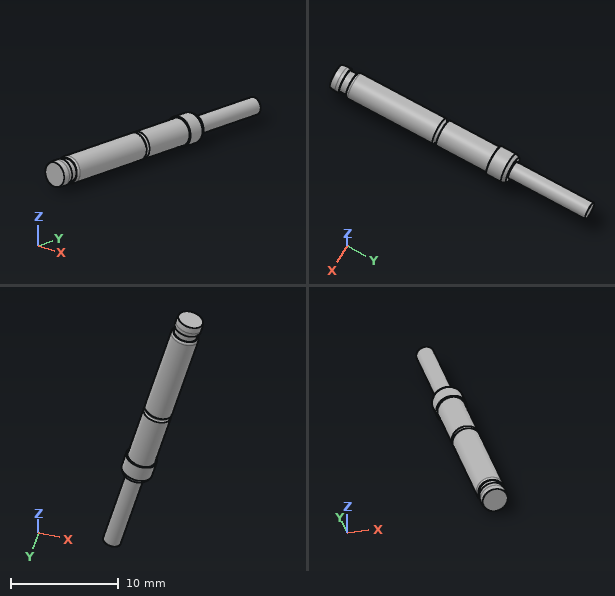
import cadquery as cq

total_length = 27.3
tip_bevel_length = 0.6
tip_length = 1.0
neck_end = 1.75
body_bevel_length = 0.25
groove_start = 11.15
groove_lower_length = 0.25
groove_upper_length = 0.16
head_start = 17.0
head_length = 2.02
head_bevel_length = 0.4

tip_face_radius = 1.2
tip_radius = 1.28
neck_radius = 1.12
body_end_radius = 1.2
body_diameter = 2.7
body_radius = body_diameter / 2
groove_floor_radius = 1.17
head_end_radius = 1.28
head_radius = 1.5
stem_radius = 0.87

bevel_bulge = 0.03
groove_lower_sag = 0.08
groove_upper_sag = 0.05


def cylinder(radius, start, end):
    """Cylinder on the Y axis between two stations."""
    return cq.Workplane("XZ", origin=(0, start, 0)).circle(radius).extrude(start - end)


def spin(profile):
    """Close a (radius, station) profile and revolve it about the Y axis."""
    return profile.close().revolve(360, (0, 0, 0), (0, 1, 0))


def rounded_start(end_radius, full_radius, start, length):
    """Begin a profile with an end face and a bulged bevel up to the full radius."""
    return (
        cq.Workplane("XY")
        .moveTo(0, start)
        .lineTo(end_radius, start)
        .sagittaArc((full_radius, start + length), -bevel_bulge)
    )


def make_tip():
    """Short collar that rounds in towards its flat end face."""
    profile = rounded_start(tip_face_radius, tip_radius, 0, tip_bevel_length)
    return spin(profile.lineTo(tip_radius, tip_length).lineTo(0, tip_length))


def make_body():
    """Long barrel with a rounded lower end and a groove of two hollow arcs around it."""
    groove_middle = groove_start + groove_lower_length
    groove_end = groove_middle + groove_upper_length
    profile = rounded_start(body_end_radius, body_radius, neck_end, body_bevel_length)
    return spin(
        profile.lineTo(body_radius, groove_start)
        .sagittaArc((groove_floor_radius, groove_middle), groove_lower_sag)
        .sagittaArc((body_radius, groove_end), groove_upper_sag)
        .lineTo(body_radius, head_start)
        .lineTo(0, head_start)
    )


def make_head():
    """Wide collar with a gently bulged bevel on the stem side."""
    head_end = head_start + head_length
    return spin(
        cq.Workplane("XY")
        .moveTo(0, head_start)
        .lineTo(head_radius, head_start)
        .lineTo(head_radius, head_end - head_bevel_length)
        .sagittaArc((head_end_radius, head_end), -bevel_bulge)
        .lineTo(0, head_end)
    )


neck = cylinder(neck_radius, tip_length, neck_end)
stem = cylinder(stem_radius, head_start + head_length, total_length)

result = make_tip().union(neck).union(make_body()).union(make_head()).union(stem)